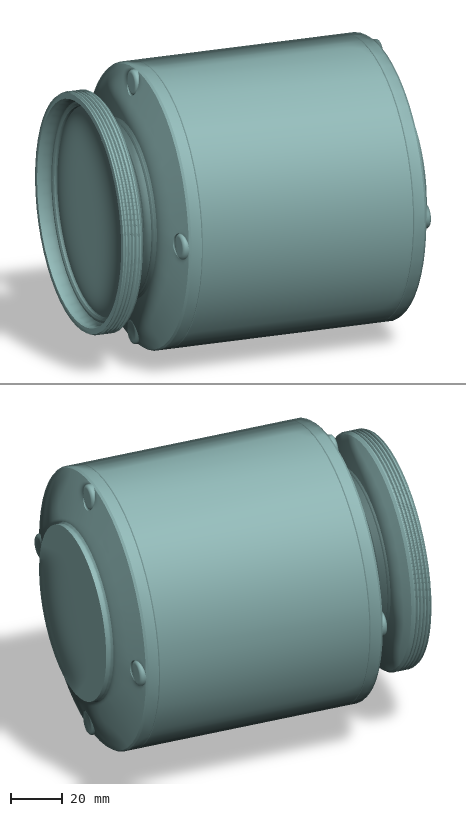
import cadquery as cq

length = 131.0

barrel_diameter = 113.0
barrel_radius = barrel_diameter / 2
front_cap_y = 23.8
rear_cap_y = 122.7
cap_rim_length = 5.5
cap_chamfer_length = 0.9
cap_face_radius = 56.0
cap_cone_length = 5.4
shoulder_radius = 35.6
shoulder_length = 0.8

hub_radius = 35.1
seam_groove_width = 0.5
neck_front_y = 12.3
neck_groove_y = 16.9
neck_groove_width = 1.0
collar_groove_y = 13.4
collar_groove_width = 0.5

mouth_radius = 47.2
mouth_length = 8.3
thread_crest_radius = 47.7
thread_root_radius = 46.8
thread_pitch = 1.5
thread_count = 5

recess_rim_radius = 44.9
recess_wall_radius = 43.5
recess_wall_depth = 5.4
ring_radius = 42.6
window_radius = 41.5
ring_chamfer_depth = 0.4
window_depth = 7.1

screw_count = 4
screw_circle_radius = 51.0
head_radius = 5.1
head_fillet = 1.3
head_height = 2.2


def groove(radius, center_y, width):
    """Outline points of a right-angled V groove around a cylinder, listed towards +Y."""
    depth = width / 2
    return [(radius, center_y - depth), (radius - depth, center_y), (radius, center_y + depth)]


def recess_outline():
    ring_inner_y = recess_wall_depth + ring_chamfer_depth
    return [
        (0, window_depth),
        (window_radius, window_depth),
        (window_radius, ring_inner_y),
        (ring_radius, recess_wall_depth),
        (recess_wall_radius, recess_wall_depth),
        (recess_rim_radius, 0),
    ]


def thread_outline():
    """Ring-shaped threads, with root, flank, crest and flank each a quarter pitch long."""
    quarter_pitch = thread_pitch / 4
    points = [(mouth_radius, 0)]
    for turn in range(thread_count):
        root_y = turn * thread_pitch + quarter_pitch
        crest_y = root_y + 2 * quarter_pitch
        points += [
            (thread_root_radius, root_y),
            (thread_root_radius, root_y + quarter_pitch),
            (thread_crest_radius, crest_y),
            (thread_crest_radius, crest_y + quarter_pitch),
        ]
    return points + [(thread_root_radius, mouth_length)]


def barrel_outline():
    """Neck, front cap, barrel, rear cap and rear hub, as (radius, y) points."""
    front_cone_y = front_cap_y - cap_cone_length
    rear_cone_y = rear_cap_y + cap_cone_length
    return [
        (hub_radius, neck_front_y),
        *groove(hub_radius, collar_groove_y, collar_groove_width),
        *groove(hub_radius, neck_groove_y, neck_groove_width),
        (hub_radius, front_cone_y - shoulder_length),
        (shoulder_radius, front_cone_y),
        (cap_face_radius, front_cap_y),
        (barrel_radius, front_cap_y + cap_chamfer_length),
        *groove(barrel_radius, front_cap_y + cap_rim_length, seam_groove_width),
        *groove(barrel_radius, rear_cap_y - cap_rim_length, seam_groove_width),
        (barrel_radius, rear_cap_y - cap_chamfer_length),
        (cap_face_radius, rear_cap_y),
        (shoulder_radius, rear_cone_y),
        (hub_radius, rear_cone_y + shoulder_length),
        (hub_radius, length),
        (0, length),
    ]


def make_housing():
    outline = recess_outline() + thread_outline() + barrel_outline()
    housing = cq.Workplane("XY").polyline(outline).close()
    housing = housing.revolve(360, (0, 0, 0), (0, 1, 0))
    return housing.rotate((0, 0, 0), (0, 1, 0), 180 / screw_count)


def make_screw_cylinder(start_y, end_y):
    """Cylinder of the head diameter, lying along Y on the +X side."""
    plane = cq.Plane(origin=(screw_circle_radius, start_y, 0), xDir=(1, 0, 0), normal=(0, -1, 0))
    return cq.Workplane(plane).circle(head_radius).extrude(start_y - end_y)


def add_screws(body, cap_y, outward):
    """Sink filleted screw heads into a cap cone; outward is the Y direction away from the barrel."""
    face_y = cap_y + outward * head_height
    clearance = make_screw_cylinder(face_y - outward * head_fillet, cap_y + outward * cap_cone_length)
    head = make_screw_cylinder(cap_y - outward * cap_chamfer_length, face_y)
    face = ">Y" if outward > 0 else "<Y"
    head = head.faces(face).edges().fillet(head_fillet)
    for index in range(screw_count):
        turn = ((0, 0, 0), (0, 1, 0), index * 360 / screw_count)
        body = body.cut(clearance.rotate(*turn)).union(head.rotate(*turn))
    return body


result = make_housing()
result = add_screws(result, front_cap_y, -1)
result = add_screws(result, rear_cap_y, 1)